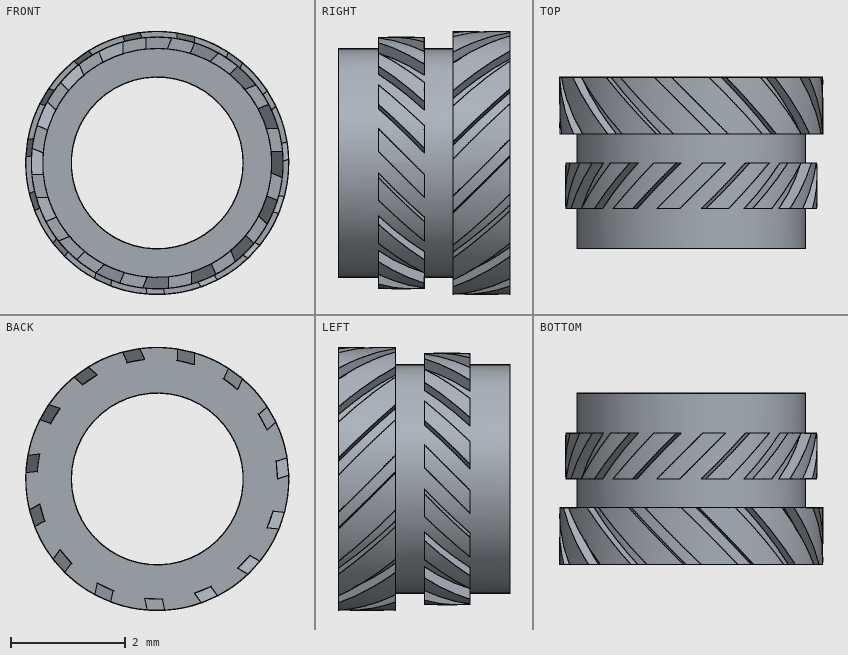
import cadquery as cq

flange_diameter = 4.6
band_diameter = 4.4
body_diameter = 4.0
bore_diameter = 3.0
total_length = 3.0

flange_length = 1.0
flange_gap = 0.5
band_length = 0.8

slot_count = 15
slot_width = 0.3
slot_floor_diameter = 4.2
rib_count = 16
rib_width = 0.4

bar_inner_radius = (body_diameter + bore_diameter) / 4
bar_outer_radius = flange_diameter

front_y = -total_length / 2
back_y = total_length / 2
flange_front_y = back_y - flange_length
band_back_y = flange_front_y - flange_gap
band_front_y = band_back_y - band_length


def cylinder(diameter, y_start, y_end):
    """Solid cylinder on the Y axis between two Y positions."""
    disc = cq.Workplane("XZ", origin=(0, y_start, 0)).circle(diameter / 2)
    return disc.extrude(y_start - y_end)


def slanted_bars(count, width, y_start, y_end, lean):
    """Ring of bars with radial sides, each slanted 45 degrees across its own centre.

    The width is measured around the ring; lean is +1 or -1, the sign of dX/dY for the top bar.
    """
    half_shift = lean * (y_end - y_start) / 2
    half_width = width / 2
    bar = (
        cq.Workplane("XY", origin=(0, 0, bar_inner_radius))
        .polyline([
            (-half_shift - half_width, y_start),
            (-half_shift + half_width, y_start),
            (half_shift + half_width, y_end),
            (half_shift - half_width, y_end),
        ])
        .close()
        .extrude(bar_outer_radius - bar_inner_radius)
    )
    bars = cq.Workplane("XY")
    for index in range(count):
        bars = bars.add(bar.rotate((0, 0, 0), (0, 1, 0), 360 * index / count))
    return bars.combine()


slots = slanted_bars(slot_count, slot_width, flange_front_y, back_y, -1)
flange_core = cylinder(slot_floor_diameter, flange_front_y, back_y)
flange = cylinder(flange_diameter, flange_front_y, back_y).cut(slots).union(flange_core)

rib_bars = slanted_bars(rib_count, rib_width, band_front_y, band_back_y, 1)
ribs = cylinder(band_diameter, band_front_y, band_back_y).intersect(rib_bars)

body = cylinder(body_diameter, front_y, back_y)
bore = cylinder(bore_diameter, front_y, back_y)
result = body.union(flange).union(ribs).cut(bore)